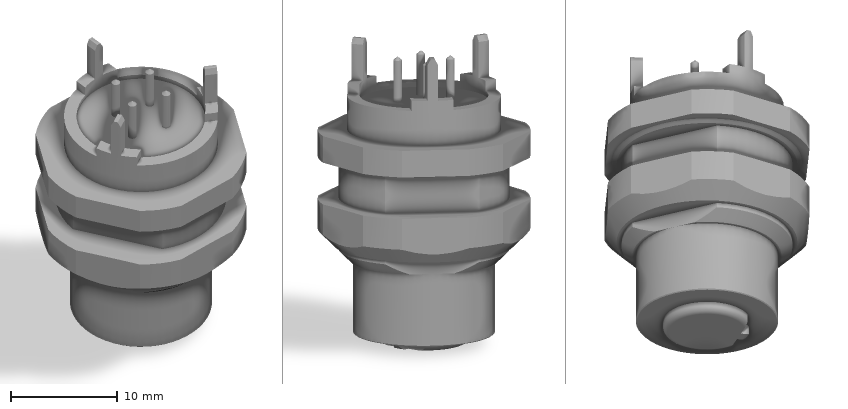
import cadquery as cq
import math

BARREL_Z = 1.0
BODY_Z = 8.0
NUT_Z = 9.5
NUT_TOP_Z = 13.97
COLLAR_Z = 17.68
FLANGE_Z = 17.95
FLANGE_TOP_Z = 20.5
FLOOR_Z = 23.3
RING_TOP_Z = 23.78
FOOT_TOP_Z = 24.75
PIN_TOP_Z = 27.57
TAB_TOP_Z = 28.75

BARREL_R = 6.7
BARREL_EDGE_CHAMFER = 0.1
BODY_R = 8.05
BODY_CHAMFER = 1.04
BODY_FLAT = BARREL_R
BODY_FLAT_ANGLE = 135

HEX_ROUND_R = 10.0
HEX_FLAT = 9.5
HEX_ANGLE = 15
HEX_HALF_STEP = 30
NUT_CHAMFER = 1.5
NUT_SEAT_R = 9.2
NUT_CROWN_DROP = 0.043
COLLAR_TOP_R = 8.95
COLLAR_BOTTOM_R = 8.5

RING_R = 7.25
RING_BORE_R = 6.07
TAB_ANGLES = (75, 195, 315)
FOOT_WIDTH = 4.0
TAB_WIDTH = 0.98
TAB_CHAMFER = 0.3
TAB_CHAMFER_HEIGHT = 0.55

PIN_R = 0.4
PIN_POINT_HEIGHT = 0.35
PIN_SPACING = 3.55

INSERT_R = 4.15
INSERT_FILLET = 0.52
INSERT_FLAT = 3.15
KEY_R = 0.6

OVERSIZE = 1.5


def cylinder(radius, z_low, z_high):
    return cq.Workplane("XY").workplane(offset=z_low).circle(radius).extrude(z_high - z_low)


def revolved(profile):
    """Turn an (r, z) profile about the Z axis."""
    return cq.Workplane("XZ").polyline(profile).close().revolve(360, (0, 0, 0), (0, 1, 0))


def hexagon(z_low, z_high):
    """Hexagonal plate without its corner rounding."""
    corner_diameter = 2 * HEX_FLAT / math.cos(math.radians(HEX_HALF_STEP))
    plate = cq.Workplane("XY").workplane(offset=z_low).polygon(6, corner_diameter).extrude(z_high - z_low)
    return plate.rotate((0, 0, 0), (0, 0, 1), HEX_ANGLE + HEX_HALF_STEP)


def make_barrel():
    barrel = cylinder(BARREL_R, BARREL_Z, BODY_Z)
    return barrel.faces("<Z").edges().chamfer(BARREL_EDGE_CHAMFER)


def make_body():
    body = cylinder(BODY_R, BODY_Z, FLANGE_Z).faces("<Z").edges().chamfer(BODY_CHAMFER)
    length = FLANGE_Z - BODY_Z
    slab = cq.Workplane("XY").box(2 * BODY_FLAT, 2 * OVERSIZE * BODY_R, length, centered=(True, True, False))
    slab = slab.rotate((0, 0, 0), (0, 0, 1), BODY_FLAT_ANGLE)
    return body.intersect(slab.translate((0, 0, BODY_Z)))


def make_nut():
    envelope = revolved([
        (0, NUT_Z),
        (HEX_ROUND_R - NUT_CHAMFER, NUT_Z),
        (HEX_ROUND_R, NUT_Z + NUT_CHAMFER),
        (HEX_ROUND_R, NUT_TOP_Z - NUT_CROWN_DROP),
        (NUT_SEAT_R, NUT_TOP_Z),
        (0, NUT_TOP_Z),
    ])
    return hexagon(NUT_Z, NUT_TOP_Z).intersect(envelope)


def make_flange():
    plate = hexagon(FLANGE_Z, FLANGE_TOP_Z).intersect(cylinder(HEX_ROUND_R, FLANGE_Z, FLANGE_TOP_Z))
    collar = revolved([
        (0, COLLAR_Z),
        (COLLAR_BOTTOM_R, COLLAR_Z),
        (COLLAR_TOP_R, FLANGE_Z),
        (0, FLANGE_Z),
    ])
    return plate.union(collar)


def tab_blade(angle):
    """Radial block with the side outline of one solder tab and its wider foot."""
    foot_half = FOOT_WIDTH / 2
    tab_half = TAB_WIDTH / 2
    tip_half = tab_half - TAB_CHAMFER
    shoulder_z = TAB_TOP_Z - TAB_CHAMFER_HEIGHT
    outline = [
        (-foot_half, FLOOR_Z),
        (foot_half, FLOOR_Z),
        (foot_half, FOOT_TOP_Z),
        (tab_half, FOOT_TOP_Z),
        (tab_half, shoulder_z),
        (tip_half, TAB_TOP_Z),
        (-tip_half, TAB_TOP_Z),
        (-tab_half, shoulder_z),
        (-tab_half, FOOT_TOP_Z),
        (-foot_half, FOOT_TOP_Z),
    ]
    blade = cq.Workplane("YZ").polyline(outline).close().extrude(OVERSIZE * RING_R)
    return blade.rotate((0, 0, 0), (0, 0, 1), angle)


def make_rear_ring():
    """Closed plug carrying a thin wall, which rises into three curved solder tabs."""
    wall_shape = cylinder(OVERSIZE * RING_R, FLOOR_Z, RING_TOP_Z)
    for angle in TAB_ANGLES:
        wall_shape = wall_shape.union(tab_blade(angle))
    sleeve = cylinder(RING_R, FLOOR_Z, TAB_TOP_Z).cut(cylinder(RING_BORE_R, FLOOR_Z, TAB_TOP_Z))
    wall = sleeve.intersect(wall_shape)
    return cylinder(RING_R, FLANGE_TOP_Z, FLOOR_Z).union(wall)


def make_pins():
    """Four round pins with conical points."""
    pin = revolved([
        (0, FLANGE_TOP_Z),
        (PIN_R, FLANGE_TOP_Z),
        (PIN_R, PIN_TOP_Z - PIN_POINT_HEIGHT),
        (0, PIN_TOP_Z),
    ])
    places = cq.Workplane("XY").rarray(PIN_SPACING, PIN_SPACING, 2, 2)
    return places.eachpoint(lambda location: pin.val().moved(location), combine=True)


def make_insert():
    """Round insert with a flat on the -Y side and a half-round key standing on that flat."""
    key_centre_y = KEY_R - INSERT_R
    envelope = cylinder(INSERT_R, 0, BARREL_Z).faces("<Z").edges().fillet(INSERT_FILLET)
    block = cq.Workplane("XY").center(0, (INSERT_R - INSERT_FLAT) / 2)
    block = block.rect(2 * INSERT_R, INSERT_R + INSERT_FLAT).extrude(BARREL_Z)
    key = (
        cq.Workplane("XY")
        .moveTo(-KEY_R, 0)
        .lineTo(-KEY_R, key_centre_y)
        .threePointArc((0, -INSERT_R), (KEY_R, key_centre_y))
        .lineTo(KEY_R, 0)
        .close()
        .extrude(BARREL_Z)
    )
    return envelope.intersect(block.union(key))


result = (
    make_barrel()
    .union(make_body())
    .union(make_nut())
    .union(make_flange())
    .union(make_rear_ring())
    .union(make_pins())
    .union(make_insert())
)